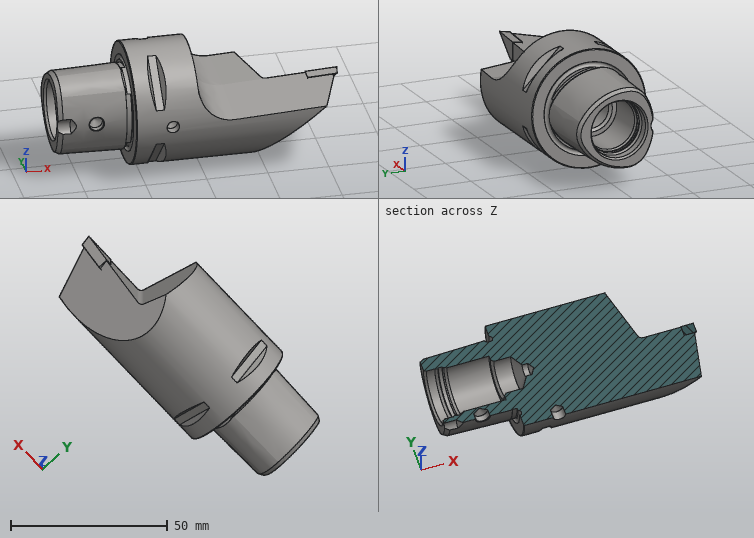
import cadquery as cq
import math

OVERALL_LENGTH = 94.0
SHANK_LENGTH = 24.0
TIP_X = OVERALL_LENGTH - SHANK_LENGTH
BODY_RADIUS = 20.0
FLANGE_CHAMFER = 0.3

LOBE_CENTRE_DISTANCE = 6.3
LOBE_RADIUS_AT_NECK = 8.55
SHANK_TAPER = 0.52
SHANK_CHAMFER_LENGTH = 1.5
SHANK_CHAMFER_HEIGHT = 0.8
NECK_LENGTH = 1.6
NECK_STEP = 0.14

UNDERCUT_INNER_RADIUS = 14.0
UNDERCUT_OUTER_RADIUS = 15.7
UNDERCUT_LENGTH = 1.1

BORE_MOUTH_RADIUS = 20.0 / 2
BORE_ENTRY_RADIUS = 9.5
BORE_LAND_RADIUS = 9.0
BORE_RADIUS = 8.6
PILOT_LEAD_RADIUS = 7.1
PILOT_RADIUS = 12.5 / 2
COOLANT_RADIUS = 4.2 / 2
BORE_MOUTH_DEPTH = 0.8
BORE_ENTRY_DEPTH = 3.7
BORE_GROOVE_START = 4.8
BORE_GROOVE_END = 6.1
BORE_LAND_DEPTH = 6.6
BORE_TAPER_LENGTH = 0.9
BORE_DEPTH = 21.6
PILOT_DEPTH = 28.2
COOLANT_STRAIGHT = 1.9
DRILL_HALF_ANGLE = math.radians(59)

KEY_HOLE_DIAMETER = 6.2
KEY_HOLE_DEPTH = 4.1
KEY_HOLE_Y = -14.2
KEY_HOLE_HALF_ANGLE = math.radians(45)
SHANK_HOLE_DIAMETER = 4.6
SHANK_HOLE_RIM_DIAMETER = 5.0
SHANK_HOLE_X = -11.5
SHANK_HOLE_FLOOR = 10.6
FLANGE_HOLE_DIAMETER = 4.0
FLANGE_HOLE_X = 12.0
FLANGE_HOLE_FLOOR = 16.9

GROOVE_X = 8.0
GROOVE_FLOOR_WIDTH = 2.6
GROOVE_FLOOR_DISTANCE = 17.8
GROOVE_WALL_ANGLE = math.radians(30)
GROOVE_COUNT = 4
FIRST_GROOVE_ANGLE = 45

RELIEF_WALL_X = 20.9
RELIEF_RADIUS = 11.0
ROOT_HEIGHT = 2.9
SEAT_INCLINE = math.radians(2.8)
SEAT_TILT = math.radians(7)
BACK_TILT = math.radians(1)
CREASE_Y = -0.4
ROOT_X = RELIEF_WALL_X + RELIEF_RADIUS * (1 + math.sin(SEAT_INCLINE))

SIDE_CUT_X = 45.7
SIDE_CUT_ANGLE = math.radians(14.5)
SIDE_CUT_FILLET = 1.6
FLANK_ANGLE = math.radians(38.8)
FLANK_SIDE_ANGLE = math.radians(10.8)

INSERT_BACK_X = 59.7
INSERT_BOTTOM_Z = -1.8
INSERT_Y_MAX = 0.2
INSERT_Y_MIN = -3.3
INSERT_RISE = 0.2

CLEARANCE = 28.2


def seat_height(x, y):
    """Height of the tilted seat plane at a point of the -Y half."""
    return ROOT_HEIGHT + math.tan(SEAT_INCLINE) * (x - ROOT_X) + math.tan(SEAT_TILT) * (y - CREASE_Y)


TIP_Z = seat_height(TIP_X, INSERT_Y_MAX) + INSERT_RISE


def trilobe(x, lobe_radius):
    """Closed six-arc outline in the plane at x, made of three lobes and three flanks."""
    flank_radius = lobe_radius + math.sqrt(3) * LOBE_CENTRE_DISTANCE

    def lobe_point(lobe, direction, radius):
        """Point at a direction and radius from the centre of the lobe at the given angle."""
        return (
            LOBE_CENTRE_DISTANCE * math.cos(math.radians(lobe)) + radius * math.cos(math.radians(direction)),
            LOBE_CENTRE_DISTANCE * math.sin(math.radians(lobe)) + radius * math.sin(math.radians(direction)),
        )

    outline = cq.Workplane("YZ", origin=(x, 0, 0)).moveTo(*lobe_point(0, -30, lobe_radius))
    for lobe in (0, 120, 240):
        outline = outline.threePointArc(
            lobe_point(lobe, lobe, lobe_radius), lobe_point(lobe, lobe + 30, lobe_radius)
        )
        outline = outline.threePointArc(
            lobe_point(lobe + 240, lobe + 60, flank_radius), lobe_point(lobe + 120, lobe + 90, lobe_radius)
        )
    return outline.close().wires().val()


def polygon_section(x_start, radius_start, x_end, radius_end):
    """Solid length of shank between two three-lobed outlines."""
    wires = [trilobe(x_start, radius_start), trilobe(x_end, radius_end)]
    return cq.Workplane(obj=cq.Solid.makeLoft(wires, True))


def revolve_about_axis(profile):
    """Revolve an (axial, radial) profile in the XY plane about the tool axis."""
    return profile.close().revolve(360, (0, 0, 0), (1, 0, 0))


def make_shank():
    """Chamfered nose, tapered length and short neck."""
    chamfer_x = SHANK_CHAMFER_LENGTH - SHANK_LENGTH
    front_radius = LOBE_RADIUS_AT_NECK - SHANK_TAPER
    neck_radius = LOBE_RADIUS_AT_NECK - NECK_STEP
    nose = polygon_section(-SHANK_LENGTH, front_radius - SHANK_CHAMFER_HEIGHT, chamfer_x, front_radius)
    taper = polygon_section(chamfer_x, front_radius, -NECK_LENGTH, LOBE_RADIUS_AT_NECK)
    neck = polygon_section(-NECK_LENGTH, neck_radius, FLANGE_CHAMFER, neck_radius)
    return nose.union(taper).union(neck)


def make_undercut():
    """Ring with a half-round floor in the flange and a 45 degree run-out through the lobes."""
    width = UNDERCUT_OUTER_RADIUS - UNDERCUT_INNER_RADIUS
    mid_radius = UNDERCUT_INNER_RADIUS + width / 2
    return revolve_about_axis(
        cq.Workplane("XY")
        .moveTo(-UNDERCUT_LENGTH, UNDERCUT_INNER_RADIUS)
        .lineTo(0, UNDERCUT_INNER_RADIUS)
        .threePointArc((width / 2, mid_radius), (0, UNDERCUT_OUTER_RADIUS))
        .lineTo(-UNDERCUT_LENGTH - width, UNDERCUT_OUTER_RADIUS)
    )


def make_bore():
    """Coaxial stepped bore opening at the shank end."""
    cone_drop = (PILOT_RADIUS - COOLANT_RADIUS) / math.tan(DRILL_HALF_ANGLE)
    coolant_start = PILOT_DEPTH + cone_drop
    coolant_end = coolant_start + COOLANT_STRAIGHT
    steps = [
        (0, 0),
        (0, BORE_MOUTH_RADIUS),
        (BORE_MOUTH_DEPTH, BORE_ENTRY_RADIUS),
        (BORE_ENTRY_DEPTH, BORE_ENTRY_RADIUS),
        (BORE_ENTRY_DEPTH + BORE_TAPER_LENGTH, BORE_LAND_RADIUS),
        (BORE_GROOVE_START, BORE_LAND_RADIUS),
        (BORE_GROOVE_START, BORE_ENTRY_RADIUS),
        (BORE_GROOVE_END, BORE_ENTRY_RADIUS),
        (BORE_GROOVE_END, BORE_LAND_RADIUS),
        (BORE_LAND_DEPTH, BORE_LAND_RADIUS),
        (BORE_LAND_DEPTH + BORE_TAPER_LENGTH, BORE_RADIUS),
        (BORE_DEPTH, BORE_RADIUS),
        (BORE_DEPTH, PILOT_LEAD_RADIUS),
        (BORE_DEPTH + PILOT_LEAD_RADIUS - PILOT_RADIUS, PILOT_RADIUS),
        (PILOT_DEPTH, PILOT_RADIUS),
        (coolant_start, COOLANT_RADIUS),
        (coolant_end, COOLANT_RADIUS),
        (coolant_end + COOLANT_RADIUS / math.tan(DRILL_HALF_ANGLE), 0),
    ]
    bore = revolve_about_axis(cq.Workplane("XY").polyline(steps))
    return bore.translate((-SHANK_LENGTH, 0, 0))


def drill(diameter, depth, half_angle=DRILL_HALF_ANGLE):
    """Drill shape along +X from the origin, with a conical point beyond the straight depth."""
    radius = diameter / 2
    point = depth + radius / math.tan(half_angle)
    return revolve_about_axis(cq.Workplane("XY").polyline([(0, 0), (0, radius), (depth, radius), (point, 0)]))


def side_drill(diameter, x, floor):
    """Radial hole from the -Y side whose straight part ends at the given distance from the axis."""
    hole = drill(diameter, BODY_RADIUS - floor).rotate((0, 0, 0), (0, 0, 1), 90)
    return hole.translate((x, -BODY_RADIUS, 0))


def shank_hole_rim():
    """Shallow wider mouth of the radial shank hole."""
    flank_y = LOBE_RADIUS_AT_NECK + (math.sqrt(3) - 1) * LOBE_CENTRE_DISTANCE - SHANK_TAPER / 2
    rim_depth = (SHANK_HOLE_RIM_DIAMETER - SHANK_HOLE_DIAMETER) / 2
    return side_drill(SHANK_HOLE_RIM_DIAMETER, SHANK_HOLE_X, flank_y - rim_depth)


def gripper_groove(angle):
    """Straight groove with sloping walls, cut across the flange rim."""
    depth = BODY_RADIUS - GROOVE_FLOOR_DISTANCE
    half_floor = GROOVE_FLOOR_WIDTH / 2
    half_mouth = half_floor + depth * math.tan(GROOVE_WALL_ANGLE)
    section = [
        (GROOVE_X - half_floor, GROOVE_FLOOR_DISTANCE),
        (GROOVE_X + half_floor, GROOVE_FLOOR_DISTANCE),
        (GROOVE_X + half_mouth, BODY_RADIUS),
        (GROOVE_X - half_mouth, BODY_RADIUS),
    ]
    groove = cq.Workplane("XZ").polyline(section).close().extrude(BODY_RADIUS, both=True)
    return groove.rotate((0, 0, 0), (1, 0, 0), angle)


def relief_cut(y_start, direction, rise=0.0):
    """Space above the cutting end, swept from y_start along the given direction."""
    start_height = ROOT_HEIGHT + rise
    arc_centre_z = start_height + RELIEF_RADIUS * math.cos(SEAT_INCLINE)
    middle_angle = math.radians(225) + SEAT_INCLINE / 2
    top_z = BODY_RADIUS + CLEARANCE
    far_x = TIP_X + CLEARANCE
    far_z = start_height + math.tan(SEAT_INCLINE) * (far_x - ROOT_X)
    arc_middle = (
        RELIEF_WALL_X + RELIEF_RADIUS * (1 + math.cos(middle_angle)),
        arc_centre_z + RELIEF_RADIUS * math.sin(middle_angle),
    )
    profile = (
        cq.Workplane("XZ", origin=(0, y_start, 0))
        .moveTo(RELIEF_WALL_X, top_z)
        .lineTo(RELIEF_WALL_X, arc_centre_z)
        .threePointArc(arc_middle, (ROOT_X, start_height))
        .lineTo(far_x, far_z)
        .lineTo(far_x, top_z)
        .close()
    )
    return cq.Workplane(obj=cq.Solid.extrudeLinear(profile.wires().val(), [], cq.Vector(*direction)))


def seat_cut(rise=0.0):
    """Space above the seat plane, which passes through the crease and falls towards -Y."""
    seat_rise = rise + CLEARANCE * math.tan(SEAT_TILT)
    span = 2 * CLEARANCE
    return relief_cut(CREASE_Y + CLEARANCE, (0, -span, -span * math.tan(SEAT_TILT)), seat_rise)


def back_cut():
    """Relief on the +Y half, which rises slightly towards +Y."""
    return relief_cut(CREASE_Y, (0, CLEARANCE, CLEARANCE * math.tan(BACK_TILT)))


def side_cut():
    """Material removed from the +Y half beside the blade."""
    run = CLEARANCE * math.tan(SIDE_CUT_ANGLE)
    far_x = TIP_X + CLEARANCE
    outline = [(SIDE_CUT_X, 0), (far_x, 0), (far_x, CLEARANCE), (SIDE_CUT_X - run, CLEARANCE)]
    block = cq.Workplane("XY").polyline(outline).close().extrude(CLEARANCE, both=True)
    inner_corner = cq.selectors.NearestToPointSelector((SIDE_CUT_X, 0, 0))
    return block.edges("|Z").edges(inner_corner).fillet(SIDE_CUT_FILLET)


def flank_cut():
    """Everything beyond a sloping end flank, which falls back towards -Y."""
    side_slope = math.tan(FLANK_SIDE_ANGLE)
    steepness = math.tan(FLANK_ANGLE)
    plane = cq.Plane(
        origin=(TIP_X, INSERT_Y_MAX, TIP_Z),
        xDir=(0, 1, -side_slope * steepness),
        normal=(1, -side_slope, -1 / steepness),
    )
    return cq.Workplane(plane).rect(2 * OVERALL_LENGTH, 2 * OVERALL_LENGTH).extrude(OVERALL_LENGTH)


def make_insert():
    """Blade insert with a sloping front, topped parallel to the seat."""
    front_bottom_x = TIP_X - (TIP_Z - INSERT_BOTTOM_Z) / math.tan(FLANK_ANGLE)
    outline = [
        (INSERT_BACK_X, INSERT_BOTTOM_Z),
        (front_bottom_x, INSERT_BOTTOM_Z),
        (TIP_X, TIP_Z),
        (INSERT_BACK_X, TIP_Z),
    ]
    blank = cq.Workplane("XZ", origin=(0, INSERT_Y_MAX, 0)).polyline(outline).close()
    blank = blank.extrude(INSERT_Y_MAX - INSERT_Y_MIN)
    return blank.cut(seat_cut(INSERT_RISE))


def make_holder(insert):
    """Tool holder with a pocket that matches the insert."""
    body = cq.Workplane("YZ").circle(BODY_RADIUS).extrude(TIP_X)
    body = body.faces("<X").chamfer(FLANGE_CHAMFER)
    body = body.cut(seat_cut()).cut(back_cut())
    body = body.cut(side_cut()).cut(flank_cut())
    for index in range(GROOVE_COUNT):
        body = body.cut(gripper_groove(FIRST_GROOVE_ANGLE + index * 360 / GROOVE_COUNT))
    body = body.union(make_shank()).cut(make_undercut()).cut(make_bore())
    key_hole = drill(KEY_HOLE_DIAMETER, KEY_HOLE_DEPTH, KEY_HOLE_HALF_ANGLE)
    body = body.cut(key_hole.translate((-SHANK_LENGTH, KEY_HOLE_Y, 0)))
    body = body.cut(side_drill(SHANK_HOLE_DIAMETER, SHANK_HOLE_X, SHANK_HOLE_FLOOR)).cut(shank_hole_rim())
    body = body.cut(side_drill(FLANGE_HOLE_DIAMETER, FLANGE_HOLE_X, FLANGE_HOLE_FLOOR))
    return body.cut(insert)


insert = make_insert()
holder = make_holder(insert)
result = cq.Compound.makeCompound([holder.val(), insert.val()])